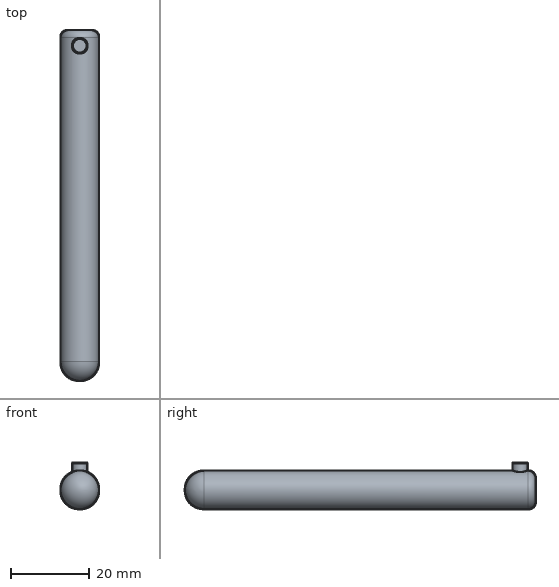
import cadquery as cq

rod_length = 90.0
rod_diameter = 10.0
rod_radius = rod_diameter / 2
end_rounding = 2.0

pin_diameter = 4.0
overall_height = 12.0
pin_height = overall_height - rod_radius
pin_end_distance = 4.05
pin_chamfer = 0.2


def make_rod():
    """Revolve the half profile about Y, with the dome tip at the origin."""
    profile = (
        cq.Workplane("XY")
        .lineTo(0, rod_length)
        .lineTo(rod_radius - end_rounding, rod_length)
        .radiusArc((rod_radius, rod_length - end_rounding), end_rounding)
        .lineTo(rod_radius, rod_radius)
        .radiusArc((0, 0), rod_radius)
        .close()
    )
    return profile.revolve(360, (0, 0, 0), (0, 1, 0))


def make_pin():
    """Build the pin up from the rod axis and chamfer its top rim."""
    return (
        cq.Workplane("XY")
        .center(0, rod_length - pin_end_distance)
        .circle(pin_diameter / 2)
        .extrude(pin_height)
        .faces(">Z")
        .chamfer(pin_chamfer)
    )


result = make_rod().union(make_pin())